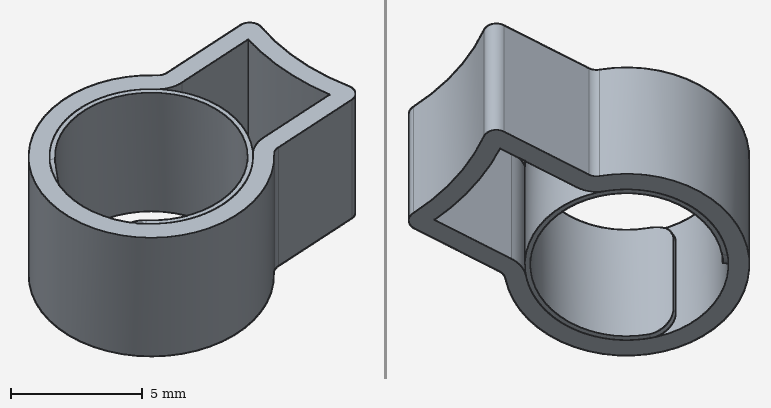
import cadquery as cq
import math

outer_diameter = 9.3
total_length = 12.83
height = 6.0
wall = 0.8
neck_width = 6.0
corner_radius = 0.5
end_arc_radius = 9.2

liner_thickness = 0.2
gap_half_angle = 26.8
liner_corner_radius = 1.0

sleeve_radius = outer_diameter / 2
bore_radius = sleeve_radius - wall
liner_inner_radius = bore_radius - liner_thickness

corner_x = neck_width / 2 - corner_radius
corner_y = total_length - sleeve_radius - corner_radius
end_arc_y = corner_y + math.sqrt((end_arc_radius + corner_radius) ** 2 - corner_x**2)


def keyhole(round_radius, width, arc_radius):
    """Round prism with a neck that ends in a concave arc."""
    half_width = width / 2
    junction_y = math.sqrt(round_radius**2 - half_width**2)
    end_corner_y = end_arc_y - math.sqrt(arc_radius**2 - half_width**2)
    return (
        cq.Workplane("XY")
        .moveTo(half_width, junction_y)
        .lineTo(half_width, end_corner_y)
        .threePointArc((0, end_arc_y - arc_radius), (-half_width, end_corner_y))
        .lineTo(-half_width, junction_y)
        .threePointArc((0, -round_radius), (half_width, junction_y))
        .close()
        .extrude(height)
    )


def blend_neck(body, radius):
    """Round the two upright edges where the neck meets the round."""
    reach = total_length
    near_sleeve = cq.selectors.BoxSelector((-reach, 0, 0), (reach, sleeve_radius, height))
    return body.edges("|Z").edges(near_sleeve).fillet(radius)


def make_housing():
    outside = blend_neck(keyhole(sleeve_radius, neck_width, end_arc_radius), corner_radius)
    outside = outside.edges("|Z").edges(">Y").fillet(corner_radius)
    cavity = keyhole(bore_radius, neck_width - 2 * wall, end_arc_radius + wall)
    cavity = blend_neck(cavity, corner_radius + wall)
    return outside.cut(cavity)


def make_liner():
    ring = cq.Workplane("XY").circle(bore_radius).circle(liner_inner_radius).extrude(height)
    wedge_half_width = sleeve_radius * math.tan(math.radians(gap_half_angle))
    wedge = (
        cq.Workplane("XY")
        .polyline([(0, 0), (-wedge_half_width, -sleeve_radius), (wedge_half_width, -sleeve_radius)])
        .close()
        .extrude(height)
    )
    split_ring = ring.cut(wedge)
    return split_ring.edges("#Z and %LINE").fillet(liner_corner_radius)


housing = make_housing()
liner = make_liner()
result = cq.Compound.makeCompound([housing.val(), liner.val()])